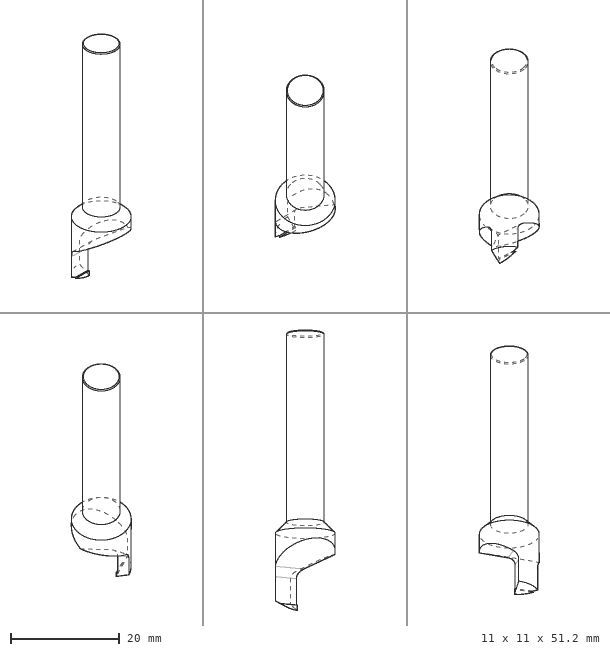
import cadquery as cq
import math

total_height = 51.25
shank_radius = 3.5
collar_radius = 5.51
shank_chamfer = 0.2
shank_bottom = 16.0
collar_top = shank_bottom - (collar_radius - shank_radius)

slope_angle = math.radians(30)
blade_inner_x = -3.3
blade_side_y = 0.0
slope_foot_height = 7.1
relief_fillet = 2.0

lip_x = -2.95
lip_height = 1.0
end_cone_height = (collar_radius + lip_x) * math.tan(slope_angle)

overrun = 2.55


def make_body():
    """Shank and collar, with a conical face rising outward from the tip."""
    cone_apex_height = end_cone_height - collar_radius * math.tan(slope_angle)
    return (
        cq.Workplane("XZ")
        .moveTo(0, cone_apex_height)
        .lineTo(collar_radius, end_cone_height)
        .lineTo(collar_radius, collar_top)
        .lineTo(shank_radius, shank_bottom)
        .lineTo(shank_radius, total_height - shank_chamfer)
        .lineTo(shank_radius - shank_chamfer, total_height)
        .lineTo(0, total_height)
        .close()
        .revolve(360, (0, 0, 0), (0, 1, 0))
    )


def make_relief(plane, wall, foot_point):
    """Cutter bounded by a vertical wall and a 30 degree slope, rounded where they meet."""
    outer = collar_radius + overrun
    slope_end_height = slope_foot_height + (outer - wall) * math.tan(slope_angle)
    bottom = -collar_radius
    relief = (
        cq.Workplane(plane)
        .moveTo(wall, bottom)
        .lineTo(wall, slope_foot_height)
        .lineTo(outer, slope_end_height)
        .lineTo(outer, bottom)
        .close()
        .extrude(outer, both=True)
    )
    foot_edge = cq.selectors.NearestToPointSelector(foot_point)
    return relief.edges(foot_edge).fillet(relief_fillet)


def make_lip():
    """Strip at the bottom of the blade wall that the relief leaves standing."""
    depth = lip_x - blade_inner_x
    bottom = -overrun
    return cq.Workplane("XY").box(
        depth, 2 * collar_radius, lip_height - bottom, centered=(False, True, False)
    ).translate((blade_inner_x, 0, bottom))


inner_foot = (blade_inner_x, 0, slope_foot_height)
side_foot = (0, blade_side_y, slope_foot_height)
inner_relief = make_relief("XZ", blade_inner_x, inner_foot).cut(make_lip())
side_relief = make_relief("YZ", blade_side_y, side_foot)

result = make_body().cut(inner_relief).cut(side_relief)